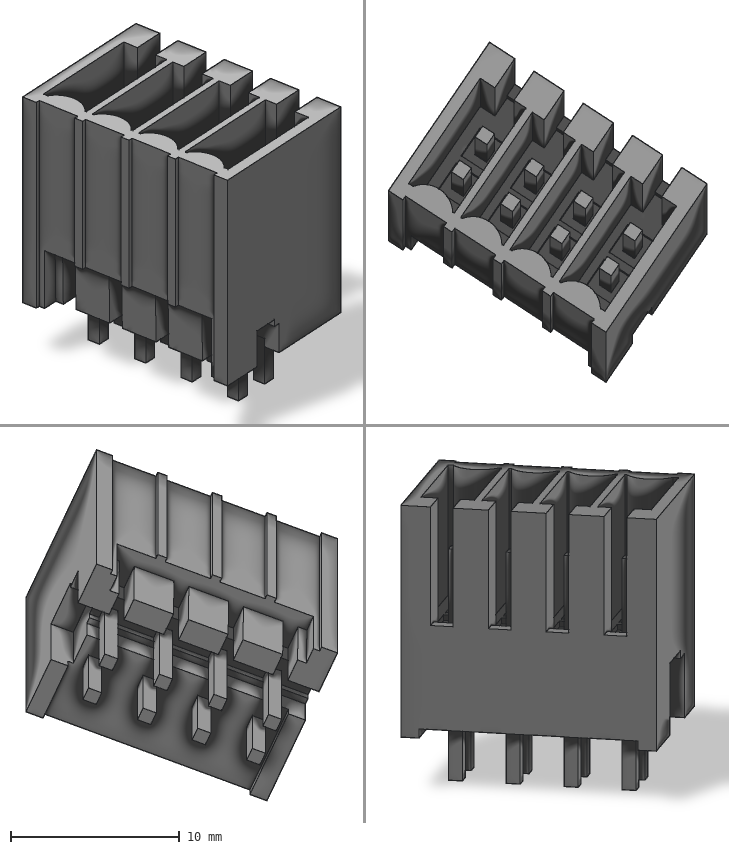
import cadquery as cq


WIDTH = 15.47
DEPTH = 10.8
TOP = 17.7
BOTTOM = 3.5

COLUMNS = 4
PITCH = 3.5
PIN = 0.85
FRONT_ROW_Y = 4.07
REAR_ROW_Y = 6.55
PIN_TOP = 14.16
PIN_SHOULDER = 0.05

BAY_FLOOR = 9.74
BAY_FRONT_Y = 1.03
BAY_REAR_Y = 8.67
END_WALL = 0.76
DIVIDER = 0.46
KEY_REACH = 0.73
KEY_WIDTH = 2.8
SOCKET = 2.02
SOCKET_DEPTH = 0.35
FRONT_SOCKET_Y = 4.04
REAR_SOCKET_Y = 6.57

LATCH_WIDTH = 1.36
SILL_THICKNESS = 0.83
SILL_HEIGHT = 0.7

GROOVE_WIDTH = 2.9
GROOVE_DEPTH = 0.28

WINDOW_WIDTH = 12.6
WINDOW_BACK_Y = 1.27
WINDOW_DRAFT = 0.07
WINDOW_TOP = 7.49
TUNNEL_FRONT_Y = 2.83
TUNNEL_BACK_Y = 4.9
TUNNEL_TOP = 5.98
TUNNEL_LOW_TOP = 5.5
PIN_SLOT_WIDTH = 0.95
SEAT = 4.07
FOOT_WIDTH = 1.1

OPENING_DEPTH = 1.43
OPENING_STEP_Y = 4.0
OPENING_TOP = 7.91
OPENING_LOW_TOP = 7.43

LEFT = -WIDTH / 2
RIGHT = WIDTH / 2
COLUMN_X = [(i - (COLUMNS - 1) / 2) * PITCH for i in range(COLUMNS)]
FRONT_PIN_BACK_Y = FRONT_ROW_Y + PIN / 2
REAR_PIN_BACK_Y = REAR_ROW_Y + PIN / 2
HALF_BAY = (PITCH - DIVIDER) / 2


def block(x0, x1, y0, y1, z0, z1):
    """Box between two limits on each axis."""
    return cq.Workplane("XY").box(x1 - x0, y1 - y0, z1 - z0, centered=False).translate((x0, y0, z0))


def centred_block(x, width, y0, y1, z0, z1):
    """Box centred on x, between two limits on Y and Z."""
    return block(x - width / 2, x + width / 2, y0, y1, z0, z1)


def square_post(x, y, size, z0, z1):
    """Upright square post centred on (x, y)."""
    return centred_block(x, size, y - size / 2, y + size / 2, z0, z1)


def round_key(x):
    """Segment of a cylinder on the bay's front wall, from the floor to the top."""
    return (
        cq.Workplane("XY", origin=(x, BAY_FRONT_Y, BAY_FLOOR))
        .moveTo(-KEY_WIDTH / 2, 0)
        .threePointArc((0, KEY_REACH), (KEY_WIDTH / 2, 0))
        .close()
        .extrude(TOP - BAY_FLOOR)
    )


def bay(column):
    """Space for one plug, with its key left standing; the outer bays reach to the end walls."""
    x = COLUMN_X[column]
    x0 = LEFT + END_WALL if column == 0 else x - HALF_BAY
    x1 = RIGHT - END_WALL if column == COLUMNS - 1 else x + HALF_BAY
    return block(x0, x1, BAY_FRONT_Y, BAY_REAR_Y, BAY_FLOOR, TOP).cut(round_key(x))


def latch_slot(x):
    """Slot through the rear wall, with a raised sill along its rear edge."""
    sill_y = DEPTH - SILL_THICKNESS
    inner = centred_block(x, LATCH_WIDTH, BAY_REAR_Y, sill_y, BAY_FLOOR, TOP)
    outer = centred_block(x, LATCH_WIDTH, sill_y, DEPTH, BAY_FLOOR + SILL_HEIGHT, TOP)
    return inner.union(outer)


def sockets(x):
    """Square recesses in the bay floor around the column's two pins."""
    front = square_post(x, FRONT_SOCKET_Y, SOCKET, BAY_FLOOR - SOCKET_DEPTH, BAY_FLOOR)
    rear = square_post(x, REAR_SOCKET_Y, SOCKET, BAY_FLOOR - SOCKET_DEPTH, BAY_FLOOR)
    return front.union(rear)


def front_window():
    """Recess across the lower front wall, its back leaning slightly inward toward the underside."""
    return (
        cq.Workplane("YZ", origin=(-WINDOW_WIDTH / 2, 0, 0))
        .moveTo(0, BOTTOM)
        .lineTo(0, WINDOW_TOP)
        .lineTo(WINDOW_BACK_Y, WINDOW_TOP)
        .lineTo(WINDOW_BACK_Y + WINDOW_DRAFT, BOTTOM)
        .close()
        .extrude(WINDOW_WIDTH)
    )


def left_opening():
    """Stepped opening in the left end, around the first column's pins."""
    return (
        cq.Workplane("YZ", origin=(LEFT, 0, 0))
        .moveTo(TUNNEL_FRONT_Y, BOTTOM)
        .lineTo(TUNNEL_FRONT_Y, OPENING_LOW_TOP)
        .lineTo(OPENING_STEP_Y, OPENING_LOW_TOP)
        .lineTo(OPENING_STEP_Y, OPENING_TOP)
        .lineTo(REAR_PIN_BACK_Y, OPENING_TOP)
        .lineTo(REAR_PIN_BACK_Y, BOTTOM)
        .close()
        .extrude(OPENING_DEPTH)
    )


def tunnel():
    """Tunnel along X through the whole housing, with a step in its ceiling behind the front pins."""
    high = block(LEFT, RIGHT, TUNNEL_FRONT_Y, FRONT_PIN_BACK_Y, BOTTOM, TUNNEL_TOP)
    low = block(LEFT, RIGHT, FRONT_PIN_BACK_Y, TUNNEL_BACK_Y, BOTTOM, TUNNEL_LOW_TOP)
    return high.union(low)


def make_housing(pin_solids):
    """Housing with its bays, slots, grooves and underside, and a matching hole for every pin."""
    housing = block(LEFT, RIGHT, 0, DEPTH, BOTTOM, TOP)

    for column, x in enumerate(COLUMN_X):
        housing = housing.cut(bay(column))
        housing = housing.cut(latch_slot(x))
        housing = housing.cut(sockets(x))
        housing = housing.cut(centred_block(x, GROOVE_WIDTH, 0, GROOVE_DEPTH, BOTTOM, TOP))

    housing = housing.cut(front_window())
    for x in COLUMN_X:
        slot = centred_block(x, PIN_SLOT_WIDTH, WINDOW_BACK_Y, TUNNEL_FRONT_Y, BOTTOM, WINDOW_TOP)
        housing = housing.cut(slot)
    housing = housing.cut(tunnel())
    housing = housing.cut(left_opening())
    housing = housing.cut(centred_block(0, WIDTH - 2 * FOOT_WIDTH, TUNNEL_BACK_Y, DEPTH, BOTTOM, SEAT))

    for pin in pin_solids:
        housing = housing.cut(pin)
    return housing.solids()


def front_pin(x):
    """Plain square pin of the front row."""
    return square_post(x, FRONT_ROW_Y, PIN, 0, PIN_TOP)


def rear_pin(x):
    """Square pin of the rear row, thinner above a small shoulder at the bottom of its recess."""
    front_y = REAR_ROW_Y - PIN / 2
    shoulder_z = BAY_FLOOR - SOCKET_DEPTH
    thinning = centred_block(x, PIN, front_y, front_y + PIN_SHOULDER, shoulder_z, PIN_TOP)
    return square_post(x, REAR_ROW_Y, PIN, 0, PIN_TOP).cut(thinning).solids()


front_pins = [front_pin(x) for x in COLUMN_X]
rear_pins = [rear_pin(x) for x in COLUMN_X]
pins = front_pins + rear_pins
housing = make_housing(pins)

result = cq.Compound.makeCompound([housing.val(), *[pin.val() for pin in pins]])